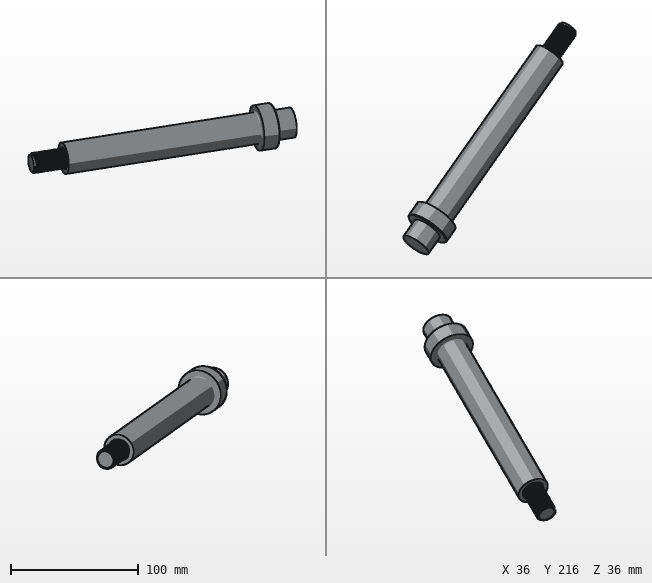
import cadquery as cq

sleeve_diameter = 25.0
collar_diameter = 36.0
collar_width = 13.0
collar_fillet = 1.0
collar_chamfer = 0.6
bore_diameter = 17.5

total_length = 216.0
head_diameter = 24.0
head_length = 16.0
thread_diameter = 16.0
thread_core_diameter = 13.5
exposed_thread_length = 27.0

thread_pitch = 1.99
thread_turns = 13.5
crest_width = 0.5
root_width = 1.5
root_overlap = 0.2

tip_y = -total_length / 2
sleeve_start_y = tip_y + exposed_thread_length
head_start_y = total_length / 2 - head_length
collar_start_y = head_start_y - collar_width

threaded_length = (thread_turns + 1) * thread_pitch
shank_start_y = tip_y + threaded_length


def cylinder_along_y(diameter, start_y, end_y):
    """Cylinder centred on the Y axis between two Y positions."""
    return cq.Workplane("XZ", origin=(0, end_y, 0)).circle(diameter / 2).extrude(end_y - start_y)


def make_sleeve():
    """Bored tube with a collar that is filleted into the tube and chamfered on its +Y edge."""
    collar = cylinder_along_y(collar_diameter, collar_start_y, head_start_y)
    collar = collar.faces(">Y").edges().chamfer(collar_chamfer)
    tube = cylinder_along_y(sleeve_diameter, sleeve_start_y, head_start_y)
    bore = cylinder_along_y(bore_diameter, sleeve_start_y, head_start_y)

    inner_corner = cq.selectors.RadiusNthSelector(0)
    body = tube.union(collar).faces("<Y[1]").edges(inner_corner).fillet(collar_fillet)
    return body.cut(bore)


def make_thread_ridge():
    """Helical ridge that starts at the screw tip and sinks slightly into the thread core."""
    crest_radius = thread_diameter / 2
    buried_radius = thread_core_diameter / 2 - root_overlap
    helix = cq.Wire.makeHelix(thread_pitch, thread_turns * thread_pitch, buried_radius)
    section = (
        cq.Workplane("XZ")
        .moveTo(buried_radius, -root_width / 2)
        .lineTo(crest_radius, -crest_width / 2)
        .lineTo(crest_radius, crest_width / 2)
        .lineTo(buried_radius, root_width / 2)
        .close()
    )
    ridge = section.sweep(cq.Workplane(obj=helix), isFrenet=True)
    ridge = ridge.rotate((0, 0, 0), (1, 0, 0), -90)
    return ridge.translate((0, tip_y + thread_pitch / 2, 0))


def make_screw():
    """Screw with a round head, a plain shank and a threaded end."""
    head = cylinder_along_y(head_diameter, head_start_y, total_length / 2)
    shank = cylinder_along_y(thread_diameter, shank_start_y, head_start_y)
    thread_core = cylinder_along_y(thread_core_diameter, tip_y, shank_start_y)
    threaded_end = thread_core.union(make_thread_ridge())
    return threaded_end.union(shank).union(head)


sleeve = make_sleeve()
screw = make_screw()
result = cq.Compound.makeCompound([sleeve.val(), screw.val()])